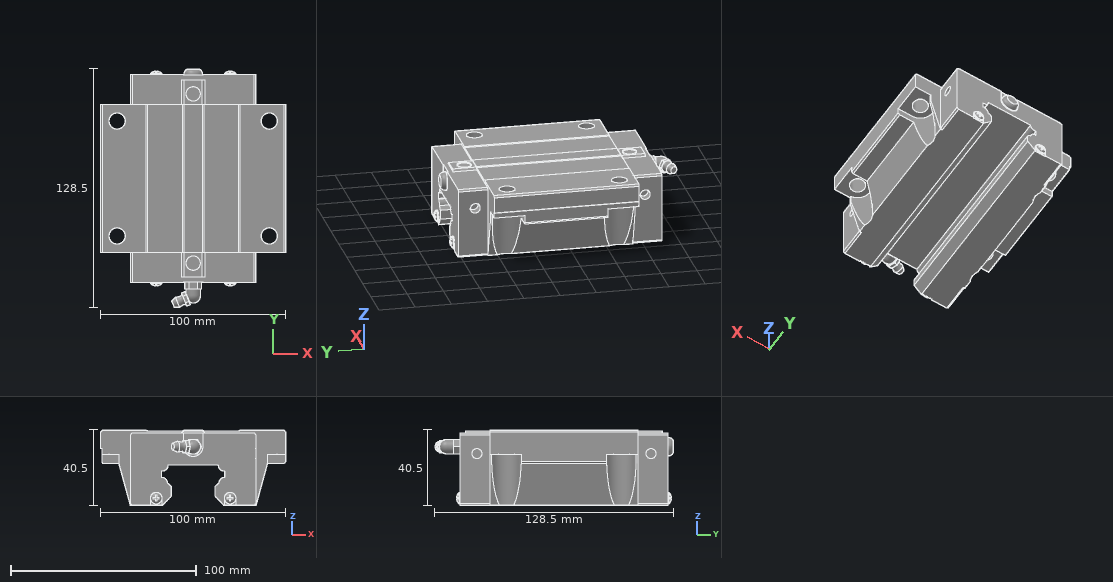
import cadquery as cq
import math


BLOCK_WIDTH = 100.0
BLOCK_LENGTH = 79.9
HEIGHT = 40.5
FLANGE_BOTTOM_Z = 22.5
EDGE_CHAMFER = 1.0
WEB_TOP_X = 40.1
WEB_BOTTOM_X = 33.9
RELIEF_DEPTH = 0.8
RELIEF_TOP_Z = 30.6
RELIEF_CHAMFER_WIDTH = 0.4
RELIEF_CHAMFER_HEIGHT = 0.9

CHANNEL_DEPTH = 0.32
CHANNEL_INNER_X = 5.0
CHANNEL_OUTER_X = 25.3
CHANNEL_SLOPE_WIDTH = 0.8

HOLE_DIAMETER = 8.6
HOLE_SPACING_X = 82.0
HOLE_SPACING_Y = 62.0
HEAD_CLEARANCE_DIAMETER = 16.0
HEAD_CLEARANCE_TOP_Z = 27.5

CAP_WIDTH = 67.6
CAP_TOP_Z = 39.1
CAP_OUTER_Y = 56.2
CAP_PLATE_THICKNESS = 3.1
PAD_TOP_Z = HEIGHT - CHANNEL_DEPTH
PAD_TOP_HALF_WIDTH = 4.9
PAD_BASE_HALF_WIDTH = 6.4
PAD_RECESS_DIAMETER = 7.7
PAD_RECESS_DEPTH = 0.5
PAD_RECESS_Y = 45.6
SIDE_HOLE_DIAMETER = 5.4
SIDE_HOLE_DEPTH = 5.1
SIDE_HOLE_Y = 46.9
SIDE_HOLE_Z = 27.9

OPENING_TOP_Z = 21.7
OPENING_TOP_X = 13.5
BUMP_X = 15.9
UPPER_BUMP_Z = 18.5
LOWER_BUMP_Z = 15.0
OPENING_SIDE_X = 17.0
LIP_X = 11.7
LIP_TOP_Z = 10.2
LIP_BOTTOM_Z = 5.0
OPENING_BOTTOM_X = 16.5
UPPER_ARC_MID = (14.1, 19.7)
LOWER_ARC_MID = (14.5, 13.9)
LOWER_ARC_END = (13.8, 12.1)

NOTCH_DEPTH = 0.4
PORT_NOTCH_DIAMETER = 10.5
PORT_Z = 31.6
SCREW_NOTCH_DIAMETER = 6.3
SCREW_X = 19.9
SCREW_Z = 3.9

SCREW_HEAD_RADIUS = 3.1
SCREW_RIM_HEIGHT = 0.8
SCREW_HEAD_HEIGHT = 2.2
CROSS_LENGTH = 3.2
CROSS_WIDTH = 0.6
CROSS_DEPTH = 0.9

PLUG_RADIUS = 5.0
PLUG_TOP_Y = 59.0
PLUG_CROWN_RADIUS = 3.2
PLUG_SIDE_BULGE = 0.6

NIPPLE_FLATS = 8.0
NIPPLE_HEX_END_Y = -59.6
NIPPLE_BALL_Y = -63.2
SPOUT_ANGLE = 22.5
SPOUT_HEX_FLATS = 6.7
SPOUT_HEX_END = 5.3
SPOUT_HEX_LENGTH = 2.0
SPOUT_NECK_RADIUS = 2.6
SPOUT_FLARE_RADIUS = 3.2
SPOUT_FLARE_DIP = 0.3
SPOUT_NECK_END = 7.2
SPOUT_BEAD_RADIUS = 3.0
SPOUT_BEAD_END = 9.1
SPOUT_TIP_RADIUS = 1.9
SPOUT_LENGTH = 11.8

BLOCK_END_Y = BLOCK_LENGTH / 2
BLOCK_SIDE_X = BLOCK_WIDTH / 2
CAP_LENGTH = CAP_OUTER_Y - BLOCK_END_Y
BOTH_SIDES = (-1, 1)
ACROSS_CORNERS = 2 / math.sqrt(3)


def box_between(x_min, x_max, y_min, y_max, z_min, z_max):
    box = cq.Workplane("XY").box(x_max - x_min, y_max - y_min, z_max - z_min, centered=False)
    return box.translate((x_min, y_min, z_min))


def cross_section(y):
    """XZ sketch plane at the given Y whose extrusions run toward -Y."""
    return cq.Workplane("XZ", origin=(0, y, 0))


def outward_plane(x, z, y, side):
    """Sketch plane on an end face at Y = side * y whose extrusions run away from the part."""
    return cq.Workplane(cq.Plane(origin=(x, side * y, z), xDir=(-side, 0, 0), normal=(0, side, 0)))


def channel_cutter(side):
    floor_z = HEIGHT - CHANNEL_DEPTH
    outline = [
        (side * CHANNEL_INNER_X, HEIGHT),
        (side * (CHANNEL_INNER_X + CHANNEL_SLOPE_WIDTH), floor_z),
        (side * (CHANNEL_OUTER_X - CHANNEL_SLOPE_WIDTH), floor_z),
        (side * CHANNEL_OUTER_X, HEIGHT),
    ]
    return cross_section(BLOCK_END_Y).polyline(outline).close().extrude(BLOCK_LENGTH)


def head_clearance(side_x, side_y):
    """Round pocket beside the web, opened through the flange to its side and end faces."""
    radius = HEAD_CLEARANCE_DIAMETER / 2
    hole_x = HOLE_SPACING_X / 2
    hole_y = HOLE_SPACING_Y / 2
    pocket = (
        cq.Workplane("XY")
        .center(hole_x, hole_y)
        .circle(radius)
        .extrude(HEAD_CLEARANCE_TOP_Z)
    )
    pocket = pocket.union(
        box_between(hole_x, BLOCK_SIDE_X, hole_y - radius, hole_y + radius, 0, HEAD_CLEARANCE_TOP_Z)
    )
    pocket = pocket.union(
        box_between(WEB_TOP_X, BLOCK_SIDE_X, hole_y, BLOCK_END_Y, 0, HEAD_CLEARANCE_TOP_Z)
    )
    if side_x < 0:
        pocket = pocket.mirror("YZ")
    if side_y < 0:
        pocket = pocket.mirror("XZ")
    return pocket


def make_block():
    relief_x = -BLOCK_SIDE_X + RELIEF_DEPTH
    outline = [
        (-WEB_BOTTOM_X, 0),
        (WEB_BOTTOM_X, 0),
        (WEB_TOP_X, FLANGE_BOTTOM_Z),
        (BLOCK_SIDE_X - EDGE_CHAMFER, FLANGE_BOTTOM_Z),
        (BLOCK_SIDE_X, FLANGE_BOTTOM_Z + EDGE_CHAMFER),
        (BLOCK_SIDE_X, HEIGHT - EDGE_CHAMFER),
        (BLOCK_SIDE_X - EDGE_CHAMFER, HEIGHT),
        (-BLOCK_SIDE_X + EDGE_CHAMFER, HEIGHT),
        (-BLOCK_SIDE_X, HEIGHT - EDGE_CHAMFER),
        (-BLOCK_SIDE_X, RELIEF_TOP_Z),
        (relief_x, RELIEF_TOP_Z),
        (relief_x, FLANGE_BOTTOM_Z + RELIEF_CHAMFER_HEIGHT),
        (relief_x + RELIEF_CHAMFER_WIDTH, FLANGE_BOTTOM_Z),
        (-WEB_TOP_X, FLANGE_BOTTOM_Z),
    ]
    block = cross_section(BLOCK_END_Y).polyline(outline).close().extrude(BLOCK_LENGTH)
    for side_x in BOTH_SIDES:
        block = block.cut(channel_cutter(side_x))
        for side_y in BOTH_SIDES:
            block = block.cut(head_clearance(side_x, side_y))
    holes = (
        cq.Workplane("XY")
        .rect(HOLE_SPACING_X, HOLE_SPACING_Y, forConstruction=True)
        .vertices()
        .circle(HOLE_DIAMETER / 2)
        .extrude(HEIGHT)
    )
    return block.cut(holes)


def notch_cutter(x, z, radius, side, open_z):
    """Shallow round-ended notch in a cap face, open toward the height open_z."""
    floor_y = CAP_OUTER_Y - NOTCH_DEPTH
    round_end = outward_plane(x, z, floor_y, side).circle(radius).extrude(NOTCH_DEPTH)
    near_y, far_y = sorted((side * floor_y, side * CAP_OUTER_Y))
    low_z, high_z = sorted((z, open_z))
    return round_end.union(box_between(x - radius, x + radius, near_y, far_y, low_z, high_z))


def make_cap(side):
    pad_length = CAP_LENGTH - CAP_PLATE_THICKNESS
    cap = (
        outward_plane(0, CAP_TOP_Z / 2, BLOCK_END_Y, side)
        .rect(CAP_WIDTH, CAP_TOP_Z)
        .extrude(CAP_LENGTH)
        .edges("|Y")
        .chamfer(EDGE_CHAMFER)
    )
    pad_outline = [
        (-PAD_BASE_HALF_WIDTH, CAP_TOP_Z),
        (PAD_BASE_HALF_WIDTH, CAP_TOP_Z),
        (PAD_TOP_HALF_WIDTH, PAD_TOP_Z),
        (-PAD_TOP_HALF_WIDTH, PAD_TOP_Z),
    ]
    pad = outward_plane(0, 0, BLOCK_END_Y, side).polyline(pad_outline).close().extrude(pad_length)
    pad_recess = (
        cq.Workplane("XY", origin=(0, side * PAD_RECESS_Y, PAD_TOP_Z))
        .circle(PAD_RECESS_DIAMETER / 2)
        .extrude(-PAD_RECESS_DEPTH)
    )
    cap = cap.union(pad).cut(pad_recess)
    cap = cap.cut(notch_cutter(0, PORT_Z, PORT_NOTCH_DIAMETER / 2, side, CAP_TOP_Z))
    for side_x in BOTH_SIDES:
        side_hole = (
            cq.Workplane("YZ", origin=(side_x * CAP_WIDTH / 2, side * SIDE_HOLE_Y, SIDE_HOLE_Z))
            .circle(SIDE_HOLE_DIAMETER / 2)
            .extrude(-side_x * SIDE_HOLE_DEPTH)
        )
        cap = cap.cut(side_hole)
        cap = cap.cut(notch_cutter(side_x * SCREW_X, SCREW_Z, SCREW_NOTCH_DIAMETER / 2, side, 0))
    return cap


def opening_cutter():
    """Rail passage, with two rounded ball-track bumps left standing on each side wall."""
    def mirrored(point):
        return (-point[0], point[1])

    outline = (
        cross_section(CAP_OUTER_Y)
        .moveTo(-OPENING_TOP_X, OPENING_TOP_Z)
        .lineTo(OPENING_TOP_X, OPENING_TOP_Z)
        .threePointArc(UPPER_ARC_MID, (BUMP_X, UPPER_BUMP_Z))
        .lineTo(OPENING_SIDE_X, UPPER_BUMP_Z)
        .lineTo(OPENING_SIDE_X, LOWER_BUMP_Z)
        .lineTo(BUMP_X, LOWER_BUMP_Z)
        .threePointArc(LOWER_ARC_MID, LOWER_ARC_END)
        .lineTo(LIP_X, LIP_TOP_Z)
        .lineTo(LIP_X, LIP_BOTTOM_Z)
        .lineTo(OPENING_BOTTOM_X, 0)
        .lineTo(-OPENING_BOTTOM_X, 0)
        .lineTo(-LIP_X, LIP_BOTTOM_Z)
        .lineTo(-LIP_X, LIP_TOP_Z)
        .lineTo(*mirrored(LOWER_ARC_END))
        .threePointArc(mirrored(LOWER_ARC_MID), (-BUMP_X, LOWER_BUMP_Z))
        .lineTo(-OPENING_SIDE_X, LOWER_BUMP_Z)
        .lineTo(-OPENING_SIDE_X, UPPER_BUMP_Z)
        .lineTo(-BUMP_X, UPPER_BUMP_Z)
        .threePointArc(mirrored(UPPER_ARC_MID), (-OPENING_TOP_X, OPENING_TOP_Z))
        .close()
    )
    return outline.extrude(2 * CAP_OUTER_Y)


def make_screw(side_x, side_y):
    """Domed screw head with a cross recess, seated on its notch floor."""
    dome_height = SCREW_HEAD_HEIGHT - SCREW_RIM_HEIGHT
    dome_radius = (SCREW_HEAD_RADIUS**2 + dome_height**2) / (2 * dome_height)
    mid_angle = math.asin(SCREW_HEAD_RADIUS / dome_radius) / 2
    dome_mid = (
        dome_radius * math.sin(mid_angle),
        SCREW_HEAD_HEIGHT - dome_radius * (1 - math.cos(mid_angle)),
    )
    head = (
        cq.Workplane("XZ")
        .lineTo(SCREW_HEAD_RADIUS, 0)
        .lineTo(SCREW_HEAD_RADIUS, SCREW_RIM_HEIGHT)
        .threePointArc(dome_mid, (0, SCREW_HEAD_HEIGHT))
        .close()
        .revolve(360, (0, 0), (0, 1))
    )
    recess_plane = cq.Workplane("XY", origin=(0, 0, SCREW_HEAD_HEIGHT))
    for arm_size in ((CROSS_LENGTH, CROSS_WIDTH), (CROSS_WIDTH, CROSS_LENGTH)):
        head = head.cut(recess_plane.rect(*arm_size).extrude(-CROSS_DEPTH))
    seat_y = CAP_OUTER_Y - NOTCH_DEPTH
    turned = head.rotate((0, 0, 0), (1, 0, 0), -90 * side_y)
    return turned.translate((side_x * SCREW_X, side_y * seat_y, SCREW_Z))


def make_plug():
    """Button with a bulging side, turned about Z and then laid over to point toward +Y."""
    seat_y = CAP_OUTER_Y - NOTCH_DEPTH
    plug_height = PLUG_TOP_Y - seat_y
    plug = (
        cq.Workplane("XZ")
        .lineTo(PLUG_RADIUS, 0)
        .sagittaArc((PLUG_CROWN_RADIUS, plug_height), -PLUG_SIDE_BULGE)
        .lineTo(0, plug_height)
        .close()
        .revolve(360, (0, 0), (0, 1))
    )
    return plug.rotate((0, 0, 0), (1, 0, 0), -90).translate((0, seat_y, PORT_Z))


def make_nipple():
    seat_y = CAP_OUTER_Y - NOTCH_DEPTH
    body_radius = NIPPLE_FLATS / 2
    hexagon = (
        outward_plane(0, PORT_Z, seat_y, -1)
        .polygon(6, NIPPLE_FLATS * ACROSS_CORNERS)
        .extrude(-NIPPLE_HEX_END_Y - seat_y)
    )
    neck = (
        outward_plane(0, PORT_Z, -NIPPLE_HEX_END_Y, -1)
        .circle(body_radius)
        .extrude(NIPPLE_HEX_END_Y - NIPPLE_BALL_Y)
    )
    ball_center = (0, NIPPLE_BALL_Y, PORT_Z)
    ball = cq.Workplane("XY").sphere(body_radius).translate(ball_center)

    spout = (
        cq.Workplane("XY")
        .lineTo(0, SPOUT_NECK_RADIUS)
        .lineTo(-SPOUT_HEX_END, SPOUT_NECK_RADIUS)
        .lineTo(-SPOUT_HEX_END, SPOUT_FLARE_RADIUS)
        .sagittaArc((-SPOUT_NECK_END, SPOUT_NECK_RADIUS), SPOUT_FLARE_DIP)
        .lineTo(-SPOUT_BEAD_END, SPOUT_BEAD_RADIUS)
        .lineTo(-SPOUT_LENGTH, SPOUT_TIP_RADIUS)
        .lineTo(-SPOUT_LENGTH, 0)
        .close()
        .revolve(360, (0, 0), (1, 0))
    )
    collar = (
        cq.Workplane("YZ", origin=(-SPOUT_HEX_END, 0, 0))
        .polygon(6, SPOUT_HEX_FLATS * ACROSS_CORNERS)
        .extrude(SPOUT_HEX_LENGTH)
    )
    spout = spout.union(collar).rotate((0, 0, 0), (0, 0, 1), SPOUT_ANGLE).translate(ball_center)
    return hexagon.union(neck).union(ball).union(spout)


result = make_block()
for end_side in BOTH_SIDES:
    result = result.union(make_cap(end_side))
result = result.cut(opening_cutter())
for end_side in BOTH_SIDES:
    for screw_side in BOTH_SIDES:
        result = result.union(make_screw(screw_side, end_side))
result = result.union(make_plug()).union(make_nipple())